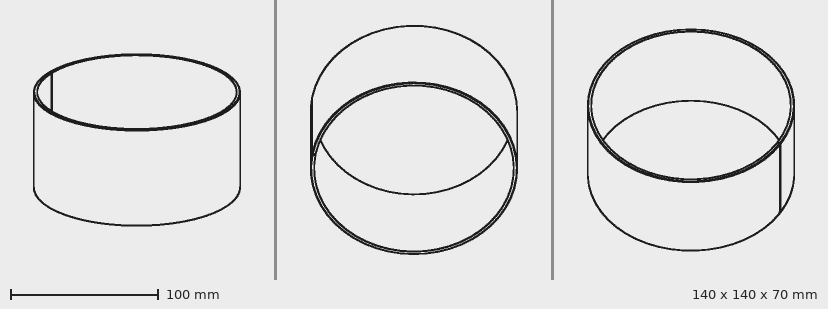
import cadquery as cq

outer_diameter = 140.0
wall = 2.5
height = 70.0
outer_chamfer = 0.5
inner_chamfer = 0.2
gap_angle = 1.0

outer_radius = outer_diameter / 2
inner_radius = outer_radius - wall


def make_wall_section():
    """Cross-section of the wall on the -X side, with all four corners chamfered."""
    outer_x = -outer_radius
    inner_x = -inner_radius
    return (
        cq.Workplane("XZ")
        .moveTo(outer_x + outer_chamfer, 0)
        .lineTo(inner_x - inner_chamfer, 0)
        .lineTo(inner_x, inner_chamfer)
        .lineTo(inner_x, height - inner_chamfer)
        .lineTo(inner_x - inner_chamfer, height)
        .lineTo(outer_x + outer_chamfer, height)
        .lineTo(outer_x, height - outer_chamfer)
        .lineTo(outer_x, outer_chamfer)
        .close()
    )


def make_split_ring():
    """Section swept about Z from the -X side, leaving a narrow split on the +Y side of its start."""
    sweep_angle = 360 - gap_angle
    return make_wall_section().revolve(sweep_angle, (0, 0, 0), (0, 1, 0))


result = make_split_ring()